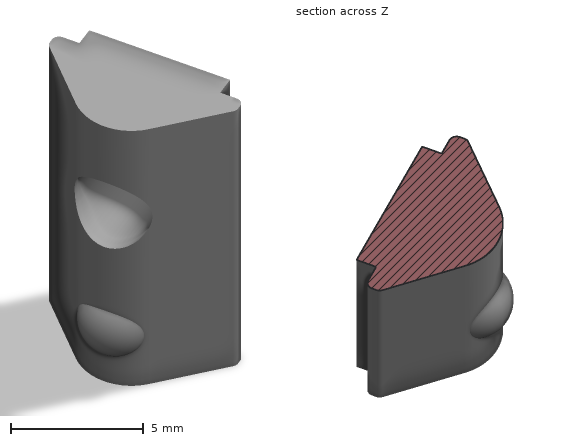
import cadquery as cq
import math

length = 13.0
width = 8.0
body_depth = 4.5
tongue_width = 5.98
tongue_height = 0.8
edge_radius = 0.3
nose_radius = 2.2
flank_angle = math.radians(45)
hole_diameter = 3.3
hole_from_top = 4.5
ball_radius = 1.5
ball_projection = 0.51
ball_height = 2.5

half_width = width / 2
half_tongue = tongue_width / 2
nose_center_y = nose_radius - body_depth
tangent_x = nose_radius * math.sin(flank_angle)
tangent_y = nose_center_y - nose_radius * math.cos(flank_angle)
flank_top_y = tangent_y + (half_width - tangent_x) * math.tan(flank_angle)


def make_body():
    """Extruded T-nut section with flanks tangent to the rounded nose."""
    body = (
        cq.Workplane("XY")
        .moveTo(-half_tongue, 0)
        .lineTo(half_tongue, 0)
        .lineTo(half_tongue, -tongue_height)
        .lineTo(half_width, -tongue_height)
        .lineTo(half_width, flank_top_y)
        .lineTo(tangent_x, tangent_y)
        .threePointArc((0, -body_depth), (-tangent_x, tangent_y))
        .lineTo(-half_width, flank_top_y)
        .lineTo(-half_width, -tongue_height)
        .lineTo(-half_tongue, -tongue_height)
        .close()
        .extrude(length)
    )
    return body.faces("<X or >X").edges("|Z").fillet(edge_radius)


def make_hole():
    """Plain through hole along Y."""
    return (
        cq.Workplane("XZ")
        .center(0, length - hole_from_top)
        .circle(hole_diameter / 2)
        .extrude(body_depth)
    )


def make_ball():
    """Detent ball partly sunk into the nose."""
    ball_center_y = ball_radius - ball_projection - body_depth
    return cq.Workplane("XY").sphere(ball_radius).translate((0, ball_center_y, ball_height))


result = make_body().cut(make_hole()).union(make_ball())